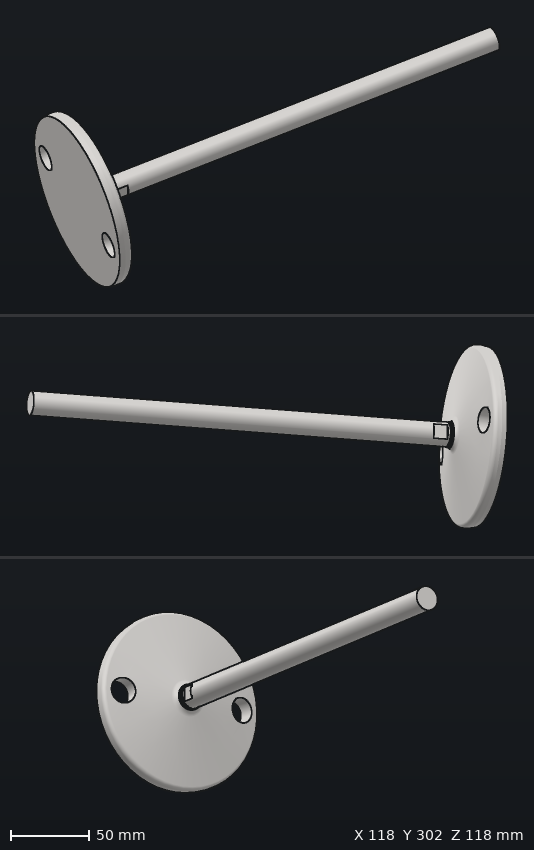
import cadquery as cq
import math

total_length = 302.0

foot_radius = 118.0 / 2
foot_face_radius = 58.3
rim_taper_height = 4.0
rim_straight_top = 6.5
rim_round = 3.0
cone_slope = 10.0
cone_edge_radius = foot_radius - rim_round * (1 - math.sin(math.radians(cone_slope)))
cone_edge_height = rim_straight_top + rim_round * math.cos(math.radians(cone_slope))
cone_top_radius = 12.0
cone_top_height = cone_edge_height + (cone_edge_radius - cone_top_radius) * math.tan(math.radians(cone_slope))
collar_radius = 8.5
collar_start = 20.0
collar_height = 20.8

bolt_hole_diameter = 16.5
bolt_hole_offset = 43.0
drill_overrun = 6.0

stem_diameter = 16.0
stem_shoulder_height = 22.0
spigot_diameter = 14.5
spigot_end_height = 12.0

flats_across = 13.0
flats_start = 24.0
flats_end = 33.2


def y_cylinder(diameter, start, end):
    """Cylinder on the Y axis between two heights above the foot's face."""
    return cq.Workplane("XZ", origin=(0, start, 0)).circle(diameter / 2).extrude(start - end)


def bolt_hole(side):
    """Cutter for one bolt hole, leaning outward on the +X or -X side."""
    lean = math.radians(cone_slope)
    direction = cq.Vector(side * math.sin(lean), math.cos(lean), 0)
    start = cq.Vector(side * bolt_hole_offset, 0, 0) - direction * drill_overrun
    length = collar_height + 2 * drill_overrun
    return cq.Solid.makeCylinder(bolt_hole_diameter / 2, length, start, direction)


def make_foot():
    flare_end = (collar_radius, collar_start)
    body = (
        cq.Workplane("XY")
        .lineTo(foot_face_radius, 0)
        .lineTo(foot_radius, rim_taper_height)
        .lineTo(foot_radius, rim_straight_top)
        .tangentArcPoint((cone_edge_radius, cone_edge_height), relative=False)
        .lineTo(cone_top_radius, cone_top_height)
        .tangentArcPoint(flare_end, relative=False)
        .lineTo(collar_radius, collar_height)
        .lineTo(0, collar_height)
        .close()
        .revolve(360, (0, 0, 0), (0, 1, 0))
    )
    for side in (-1, 1):
        body = body.cut(cq.Workplane(bolt_hole(side)))
    socket = y_cylinder(spigot_diameter, spigot_end_height, collar_height)
    return body.cut(socket)


def make_stem():
    rod = y_cylinder(stem_diameter, stem_shoulder_height, total_length)
    spigot = y_cylinder(spigot_diameter, spigot_end_height, stem_shoulder_height)
    flats_length = flats_end - flats_start
    flats_middle = (flats_start + flats_end) / 2
    for side in (-1, 1):
        flat_cutter = cq.Workplane("XY").box(stem_diameter, flats_length, stem_diameter).translate(
            (side * (flats_across + stem_diameter) / 2, flats_middle, 0)
        )
        rod = rod.cut(flat_cutter)
    return rod.union(spigot)


foot = make_foot()
stem = make_stem()

result = cq.Compound.makeCompound([foot.val(), stem.val()])